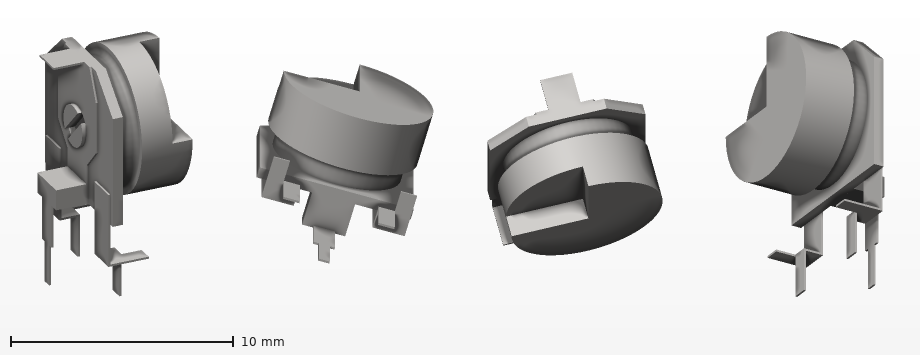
import cadquery as cq


TOTAL_HEIGHT = 11.1
SHEET = 0.1
TIP_LENGTH = 2.0

CAP_DIAMETER = 7.0
CAP_LENGTH = 2.51
NECK_DIAMETER = 6.0
NECK_LENGTH = 1.0
NECK_FILLET = 0.24
NOTCH_DEPTH = 1.0
NOTCH_EDGE_X = -0.05

BASE_WIDTH = 7.2
BASE_TOP_WIDTH = 3.61
BASE_CORNER_DROP = 1.61
BASE_THICKNESS = 0.5

WIPER_TOP_WIDTH = 2.64
WIPER_WIDTH = 4.02
WIPER_NECK_WIDTH = 2.01
SHOULDER_DROP = 1.5
WAIST_DROP = 4.02
NECK_DROP = 5.08
TAB_WIDTH = 1.49
BLOCK_HEIGHT = 1.0
FRONT_REACH = 1.5
CENTRE_PIN_WIDTH = 1.0
CENTRE_TIP_WIDTH = 0.51

SCREW_RADIUS = 1.0
SCREW_HEAD = 0.2
SLOT_WIDTH = 0.5
SLOT_DEPTH = 0.5
SLOT_ANGLE = 45

TERMINAL_OUTER_X = 3.35
TERMINAL_WIDTH = 1.51
TERMINAL_DROP = 5.5
FOOT_LENGTH = 2.0
FOOT_TO_TIP = 1.0

CAP_RADIUS = CAP_DIAMETER / 2
NECK_RADIUS = NECK_DIAMETER / 2
TOP = CAP_RADIUS
BOTTOM = -CAP_RADIUS
TIP_BOTTOM = TOP - TOTAL_HEIGHT
TIP_TOP = TIP_BOTTOM + TIP_LENGTH
BASE_FRONT = -BASE_THICKNESS
SHEET_FRONT = BASE_FRONT - SHEET
PIN_FRONT = SHEET_FRONT - FRONT_REACH


def box(x_range, y_range, z_range):
    """A box between the two limits given along each axis."""
    corner = (x_range[0], y_range[0], z_range[0])
    size = (x_range[1] - x_range[0], y_range[1] - y_range[0], z_range[1] - z_range[0])
    return cq.Workplane("XY").box(*size, centered=False).translate(corner)


def centred_box(width, y_range, z_range):
    """A box centred on X = 0."""
    return box((-width / 2, width / 2), y_range, z_range)


def cylinder(radius, back, front):
    """A cylinder on the rotor axis."""
    return cq.Workplane("XZ", origin=(0, back, 0)).circle(radius).extrude(back - front)


def mirrored_plate(right_side, back, front):
    """A plate, symmetric about X = 0, from the points of its right side listed from top to bottom."""
    left_side = [(-x, z) for x, z in reversed(right_side)]
    outline = cq.Workplane("XZ", origin=(0, back, 0)).polyline(right_side + left_side).close()
    return outline.extrude(back - front)


def make_base():
    outline = [
        (BASE_TOP_WIDTH / 2, TOP),
        (BASE_WIDTH / 2, TOP - BASE_CORNER_DROP),
        (BASE_WIDTH / 2, BOTTOM),
    ]
    return mirrored_plate(outline, 0, BASE_FRONT).cut(cylinder(SCREW_RADIUS, 0, BASE_FRONT))


def make_rotor():
    cap_front = NECK_LENGTH
    cap_back = NECK_LENGTH + CAP_LENGTH
    fillet_end = cap_front - NECK_FILLET
    rotor = (
        cq.Workplane("XY")
        .lineTo(NECK_RADIUS, 0)
        .lineTo(NECK_RADIUS, fillet_end)
        .radiusArc((NECK_RADIUS + NECK_FILLET, cap_front), NECK_FILLET)
        .lineTo(CAP_RADIUS, cap_front)
        .lineTo(CAP_RADIUS, cap_back)
        .lineTo(0, cap_back)
        .close()
        .revolve(360, (0, 0, 0), (0, 1, 0))
    )
    notch = box((NOTCH_EDGE_X, CAP_RADIUS), (cap_back - NOTCH_DEPTH, cap_back), (0, CAP_RADIUS))
    return rotor.cut(notch)


def make_wiper():
    """The wiper sheet with its bent top tab, its bottom block and the centre pin."""
    outline = [
        (WIPER_TOP_WIDTH / 2, TOP),
        (WIPER_WIDTH / 2, TOP - SHOULDER_DROP),
        (WIPER_WIDTH / 2, TOP - WAIST_DROP),
        (WIPER_NECK_WIDTH / 2, TOP - NECK_DROP),
        (WIPER_NECK_WIDTH / 2, BOTTOM),
    ]
    sheet = mirrored_plate(outline, BASE_FRONT, SHEET_FRONT)
    tab = centred_box(TAB_WIDTH, (PIN_FRONT, SHEET_FRONT), (TOP - SHEET, TOP))
    block = centred_box(WIPER_NECK_WIDTH, (PIN_FRONT, SHEET_FRONT), (BOTTOM, BOTTOM + BLOCK_HEIGHT))
    pin_depth = (PIN_FRONT, PIN_FRONT + SHEET)
    pin = centred_box(CENTRE_PIN_WIDTH, pin_depth, (TIP_TOP, BOTTOM))
    tip = centred_box(CENTRE_TIP_WIDTH, pin_depth, (TIP_BOTTOM, TIP_TOP))
    screw_hole = cylinder(SCREW_RADIUS, BASE_FRONT, SHEET_FRONT)
    return sheet.union(tab).union(block).union(pin).union(tip).cut(screw_hole)


def make_screw():
    head_front = SHEET_FRONT - SCREW_HEAD
    slot_depth = (head_front, head_front + SLOT_DEPTH)
    level_slot = centred_box(2 * SCREW_RADIUS, slot_depth, (-SLOT_WIDTH / 2, SLOT_WIDTH / 2))
    slot = level_slot.rotate((0, 0, 0), (0, -1, 0), SLOT_ANGLE)
    return cylinder(SCREW_RADIUS, 0, head_front).cut(slot)


def make_terminal(side):
    """A side terminal: a strip bent back into a foot, half of which is bent down again as the tip.

    The side is 1 for the terminal at +X and -1 for its mirror image at -X.
    """
    outer_x = TERMINAL_OUTER_X
    inner_x = outer_x - TERMINAL_WIDTH
    middle_x = outer_x - TERMINAL_WIDTH / 2
    foot_height = (TIP_TOP, TIP_TOP + SHEET)
    tip_back = SHEET_FRONT + FOOT_TO_TIP
    strip = box((inner_x, outer_x), (SHEET_FRONT, BASE_FRONT), (TIP_TOP, TOP - TERMINAL_DROP))
    foot = box((inner_x, outer_x), (SHEET_FRONT, tip_back), foot_height)
    tongue = box((middle_x, outer_x), (tip_back, SHEET_FRONT + FOOT_LENGTH), foot_height)
    tip = box((inner_x, middle_x), (tip_back - SHEET, tip_back), (TIP_BOTTOM, TIP_TOP))
    terminal = strip.union(foot).union(tongue).union(tip)
    return terminal if side > 0 else terminal.mirror("YZ")


base = make_base()
rotor = make_rotor()
wiper = make_wiper()
screw = make_screw()
terminals = [make_terminal(side) for side in (-1, 1)]

result = cq.Compound.makeCompound(
    [base.val(), rotor.val(), wiper.val(), screw.val(), *[terminal.val() for terminal in terminals]]
)